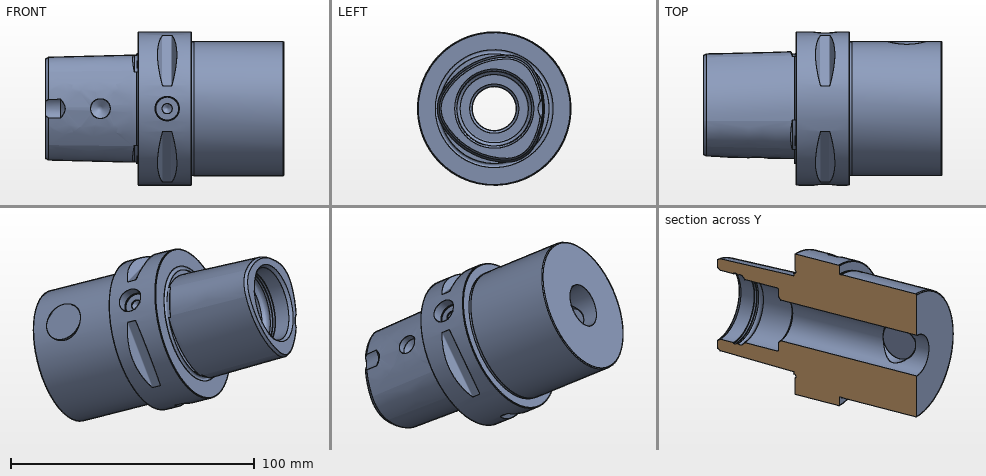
import cadquery as cq
import math

TOTAL_LENGTH = 98.0
SHANK_LENGTH = 38.0
SHANK_TIP = -SHANK_LENGTH
NOSE_END = TOTAL_LENGTH - SHANK_LENGTH

FLANGE_DIAMETER = 63.0
FLANGE_WIDTH = 22.0
FLANGE_CHAMFER = 0.3
NOSE_DIAMETER = 55.2
NOSE_CHAMFER = 0.4
NOSE_ROOT_WIDTH = 1.0
NOSE_ROOT_DIAMETER = 55.0

LOBE_COUNT = 3
LOBE_CENTER_RADIUS = 10.4
SHANK_BASE_WIDTH = 44.0
LOBE_BASE_RADIUS = 13.0
TAPER_SLOPE = 1 / 40
TAPER_END = -2.2
TIP_CHAMFER_LENGTH = 1.3
TIP_CHAMFER_HEIGHT = 0.75
NECK_RADIUS = 22.5
SHANK_ROOT = 0.5
NECK_START = -1.5

COLLAR_RADIUS = NECK_RADIUS
COLLAR_LENGTH = 0.6
FACE_GROOVE_RADIUS = 24.2
FACE_GROOVE_BOTTOM = (0.4, 23.6)

THROUGH_DIAMETER = 18.0
THROUGH_CHAMFER = 1.1
MOUTH_DIAMETER = 32.5
MOUTH_CHAMFER_LENGTH = 1.5
ENTRY_DIAMETER = 30.6
RING_GROOVE_DIAMETER = 31.4
RING_GROOVE_START = 8.0
RING_GROOVE_END = 9.2
RELIEF_START = 10.2
RELIEF_DEPTH = 0.3
LIP_CONE_START = 12.2
LIP_CONE_END = 13.4
LIP_DIAMETER = 28.0
SHOULDER_X = 30.0
SHOULDER_FILLET = 0.5

GRIP_X = 12.0

SLOT_COUNT = 4
SLOT_FLOOR_RADIUS = 27.85
SLOT_FLOOR_WIDTH = 3.75
SLOT_WALL_ANGLE = 30.0
SLOT_FLOOR_FILLET = 0.5

NOTCH_DIAMETER = 11.0
NOTCH_DEPTH = 6.25
NOTCH_POINT_ANGLE = 90.0
NOTCH_AXIS_RADIUS = 23.5

SHANK_HOLE_DIAMETER = 8.1
SHANK_HOLE_X = SHANK_TIP + 22.6
SHANK_HOLE_FLOOR_RADIUS = 17.0
DRILL_POINT_ANGLE = 118.0

FLANGE_HOLE_DIAMETER = 10.0
FLANGE_HOLE_DEPTH = 5.0
FLANGE_HOLE_FLOOR_CHAMFER = 0.3
DIMPLE_DIAMETER = 4.2
DIMPLE_DEPTH = 0.5

SCREW_X = 45.5
SCREW_DIAMETER = 16.0


def cylinder_x(start, end, radius):
    return cq.Workplane("YZ", origin=(start, 0, 0)).circle(radius).extrude(end - start)


def drill(origin, direction, diameter, depth, point_angle=DRILL_POINT_ANGLE):
    """Round cutter along a horizontal direction, with a conical point beyond its full-diameter depth."""
    radius = diameter / 2
    point = radius / math.tan(math.radians(point_angle / 2))
    profile = [(0, 0), (radius, 0), (radius, depth), (0, depth + point)]
    up = cq.Vector(0, 0, 1)
    plane = cq.Plane(origin=origin, xDir=up, normal=up.cross(cq.Vector(*direction)))
    return cq.Workplane(plane).polyline(profile).close().revolve(360, (0, 0, 0), (0, 1, 0))


def polygon(x, inset):
    """Closed outline at x: small lobe arcs joined tangentially by large flank arcs."""
    lobe_radius = LOBE_BASE_RADIUS - inset
    flank_radius = SHANK_BASE_WIDTH - LOBE_BASE_RADIUS - inset

    def on_lobe(index, normal_degrees):
        lobe = math.radians(360 / LOBE_COUNT * index)
        normal = lobe + math.radians(normal_degrees)
        return (
            LOBE_CENTER_RADIUS * math.cos(lobe) + lobe_radius * math.cos(normal),
            LOBE_CENTER_RADIUS * math.sin(lobe) + lobe_radius * math.sin(normal),
        )

    half_arc = 180 / LOBE_COUNT / 2
    flank_reach = flank_radius - LOBE_CENTER_RADIUS
    outline = cq.Workplane("YZ", origin=(x, 0, 0)).moveTo(*on_lobe(0, -half_arc))
    for index in range(LOBE_COUNT):
        flank = math.radians(360 / LOBE_COUNT * (index + 0.5))
        flank_middle = (flank_reach * math.cos(flank), flank_reach * math.sin(flank))
        outline = outline.threePointArc(on_lobe(index, 0), on_lobe(index, half_arc))
        outline = outline.threePointArc(flank_middle, on_lobe(index + 1, -half_arc))
    return outline.close().wire().val()


def build_shank():
    chamfer_x = SHANK_TIP + TIP_CHAMFER_LENGTH
    chamfer_inset = (TAPER_END - chamfer_x) * TAPER_SLOPE
    tip_inset = chamfer_inset + TIP_CHAMFER_HEIGHT
    tip = cq.Solid.makeLoft([polygon(SHANK_TIP, tip_inset), polygon(chamfer_x, chamfer_inset)], True)
    taper = cq.Solid.makeLoft([polygon(chamfer_x, chamfer_inset), polygon(TAPER_END, 0)], True)
    base = cq.Solid.makeLoft([polygon(TAPER_END, 0), polygon(SHANK_ROOT, 0)], True)
    neck_limit = (
        cq.Workplane("XY")
        .moveTo(TAPER_END, 0)
        .lineTo(TAPER_END, LOBE_CENTER_RADIUS + LOBE_BASE_RADIUS)
        .lineTo(NECK_START, NECK_RADIUS)
        .lineTo(SHANK_ROOT, NECK_RADIUS)
        .lineTo(SHANK_ROOT, 0)
        .close()
        .revolve(360, (0, 0, 0), (1, 0, 0))
    )
    base = cq.Workplane(base).intersect(neck_limit)
    return cq.Workplane(tip).union(cq.Workplane(taper)).union(base)


def build_turned_blank():
    flange = cylinder_x(0, FLANGE_WIDTH, FLANGE_DIAMETER / 2).edges().chamfer(FLANGE_CHAMFER)
    collar = cylinder_x(-COLLAR_LENGTH, 0, FACE_GROOVE_RADIUS)
    face_groove = (
        cq.Workplane("XY")
        .moveTo(-COLLAR_LENGTH, COLLAR_RADIUS)
        .threePointArc(FACE_GROOVE_BOTTOM, (0, FACE_GROOVE_RADIUS))
        .lineTo(-COLLAR_LENGTH, FACE_GROOVE_RADIUS)
        .close()
        .revolve(360, (0, 0, 0), (1, 0, 0))
    )
    root_end = FLANGE_WIDTH + NOSE_ROOT_WIDTH
    root = cylinder_x(FLANGE_WIDTH, root_end, NOSE_ROOT_DIAMETER / 2)
    nose = cylinder_x(root_end, NOSE_END, NOSE_DIAMETER / 2).faces(">X").edges().chamfer(NOSE_CHAMFER)
    return flange.union(collar).cut(face_groove).union(root).union(nose)


def build_bore():
    entry_radius = ENTRY_DIAMETER / 2
    groove_radius = RING_GROOVE_DIAMETER / 2
    lip_radius = LIP_DIAMETER / 2
    through_radius = THROUGH_DIAMETER / 2
    fillet_offset = SHOULDER_FILLET * (1 - math.sqrt(0.5))
    relief_middle = ((RELIEF_START + LIP_CONE_START) / 2, entry_radius + RELIEF_DEPTH)
    profile = (
        cq.Workplane("XY", origin=(SHANK_TIP, 0, 0))
        .moveTo(0, 0)
        .lineTo(0, MOUTH_DIAMETER / 2)
        .lineTo(MOUTH_CHAMFER_LENGTH, entry_radius)
        .lineTo(RING_GROOVE_START, entry_radius)
        .lineTo(RING_GROOVE_START, groove_radius)
        .lineTo(RING_GROOVE_END, groove_radius)
        .lineTo(RING_GROOVE_END, entry_radius)
        .lineTo(RELIEF_START, entry_radius)
        .threePointArc(relief_middle, (LIP_CONE_START, entry_radius))
        .lineTo(LIP_CONE_END, lip_radius)
        .lineTo(SHOULDER_X - SHOULDER_FILLET, lip_radius)
        .threePointArc(
            (SHOULDER_X - fillet_offset, lip_radius - fillet_offset),
            (SHOULDER_X, lip_radius - SHOULDER_FILLET),
        )
        .lineTo(SHOULDER_X, through_radius + THROUGH_CHAMFER)
        .lineTo(SHOULDER_X + THROUGH_CHAMFER, through_radius)
        .lineTo(TOTAL_LENGTH, through_radius)
        .lineTo(TOTAL_LENGTH, 0)
        .close()
    )
    return profile.revolve(360, (0, 0, 0), (1, 0, 0))


def build_grip_slot(angle):
    depth = FLANGE_DIAMETER / 2 - SLOT_FLOOR_RADIUS
    half_floor = SLOT_FLOOR_WIDTH / 2
    half_top = half_floor + depth * math.tan(math.radians(SLOT_WALL_ANGLE))
    slot = (
        cq.Workplane("XZ", origin=(GRIP_X, FLANGE_DIAMETER / 2, 0))
        .polyline([
            (-half_floor, SLOT_FLOOR_RADIUS),
            (half_floor, SLOT_FLOOR_RADIUS),
            (half_top, FLANGE_DIAMETER / 2),
            (-half_top, FLANGE_DIAMETER / 2),
        ])
        .close()
        .extrude(FLANGE_DIAMETER)
        .edges("|Y and <Z")
        .fillet(SLOT_FLOOR_FILLET)
    )
    return slot.rotate((0, 0, 0), (1, 0, 0), angle)


def build_side_hole(side):
    """Flat-bottomed hole with a drilled dimple in its floor, on the +Y or -Y side of the flange."""
    flange_radius = FLANGE_DIAMETER / 2
    hole = (
        cq.Workplane("XZ", origin=(GRIP_X, side * flange_radius, 0))
        .circle(FLANGE_HOLE_DIAMETER / 2)
        .extrude(side * FLANGE_HOLE_DEPTH)
        .faces(cq.selectors.NearestToPointSelector((GRIP_X, 0, 0)))
        .edges()
        .chamfer(FLANGE_HOLE_FLOOR_CHAMFER)
    )
    floor = side * (flange_radius - FLANGE_HOLE_DEPTH)
    return hole.union(drill((GRIP_X, floor, 0), (0, -side, 0), DIMPLE_DIAMETER, DIMPLE_DEPTH))


def screw_cylinder(inner_end):
    """Cylinder along Y from inner_end out to the nose surface."""
    nose_radius = NOSE_DIAMETER / 2
    return (
        cq.Workplane("XZ", origin=(SCREW_X, nose_radius, 0))
        .circle(SCREW_DIAMETER / 2)
        .extrude(nose_radius - inner_end)
    )


def build_holder():
    holder = build_turned_blank().union(build_shank()).cut(build_bore())
    for index in range(SLOT_COUNT):
        holder = holder.cut(build_grip_slot(360 / SLOT_COUNT * (index + 0.5)))
    for side in (-1, 1):
        holder = holder.cut(build_side_hole(side))
    notch_origin = (SHANK_TIP, -NOTCH_AXIS_RADIUS, 0)
    holder = holder.cut(drill(notch_origin, (1, 0, 0), NOTCH_DIAMETER, NOTCH_DEPTH, NOTCH_POINT_ANGLE))
    shank_hole_origin = (SHANK_HOLE_X, -NECK_RADIUS, 0)
    shank_hole_depth = NECK_RADIUS - SHANK_HOLE_FLOOR_RADIUS
    holder = holder.cut(drill(shank_hole_origin, (0, 1, 0), SHANK_HOLE_DIAMETER, shank_hole_depth))
    return holder.cut(screw_cylinder(0))


def build_screw():
    """Plain screw body, flush with the nose and ending where the bore begins."""
    return screw_cylinder(THROUGH_DIAMETER / 2)


holder = build_holder()
screw = build_screw()
result = cq.Compound.makeCompound([holder.solids().val(), screw.val()])